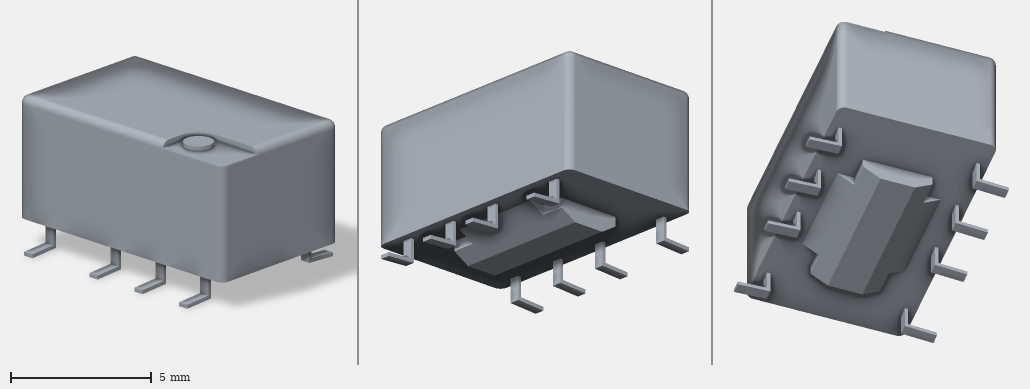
import cadquery as cq

HOUSING_LENGTH = 10.0
HOUSING_WIDTH = 6.0
HOUSING_HEIGHT = 4.65
EDGE_RADIUS = 0.3

STUD_X = 2.88
STUD_Y = -2.0
STUD_DIAMETER = 1.1
STUD_HEIGHT = 0.19
RECESS_RADIUS = 0.8
RECESS_DEPTH = 0.24

KEEL_LENGTH = 5.6
KEEL_FULL_LENGTH = 3.7
KEEL_TOP_WIDTH = 3.9
KEEL_BOTTOM_WIDTH = 1.3
KEEL_END_WIDTH = 2.62
KEEL_HEIGHT = 0.76

TERMINAL_X = (-3.8, -0.6, 1.6, 3.8)
TERMINAL_WIDTH = 0.4
LEG_THICKNESS = 0.13
FOOT_THICKNESS = 0.15
TERMINAL_DROP = 1.0
TERMINAL_SPAN = 7.52
LEG_INNER_Y = 2.54
FOOT_FALL = 0.07


def make_block():
    block = cq.Workplane("XY").box(
        HOUSING_LENGTH, HOUSING_WIDTH, HOUSING_HEIGHT, centered=(True, True, False)
    )
    return block.edges("|Z").fillet(EDGE_RADIUS).faces(">Z").edges().fillet(EDGE_RADIUS)


def make_corner_recess():
    """Cutter for the recess, open on the +X and -Y sides of the housing."""
    left = STUD_X - RECESS_RADIUS
    back = STUD_Y + RECESS_RADIUS
    length = HOUSING_LENGTH / 2 - left
    width = back + HOUSING_WIDTH / 2
    cutter = (
        cq.Workplane("XY")
        .box(length, width, RECESS_DEPTH, centered=False)
        .translate((left, -HOUSING_WIDTH / 2, HOUSING_HEIGHT - RECESS_DEPTH))
    )
    return cutter.edges("|Z and <X and >Y").fillet(RECESS_RADIUS)


def make_stud():
    """Round stud on the recess floor, slightly lower than the top of the housing."""
    return (
        cq.Workplane("XY", origin=(STUD_X, STUD_Y, HOUSING_HEIGHT - RECESS_DEPTH))
        .circle(STUD_DIAMETER / 2)
        .extrude(STUD_HEIGHT)
    )


def make_keel():
    taper = (
        cq.Workplane("YZ")
        .polyline([
            (-KEEL_TOP_WIDTH / 2, 0),
            (-KEEL_BOTTOM_WIDTH / 2, -KEEL_HEIGHT),
            (KEEL_BOTTOM_WIDTH / 2, -KEEL_HEIGHT),
            (KEEL_TOP_WIDTH / 2, 0),
        ])
        .close()
        .extrude(KEEL_LENGTH / 2, both=True)
    )
    plan = (
        cq.Workplane("XY")
        .rect(KEEL_LENGTH, KEEL_END_WIDTH)
        .extrude(-KEEL_HEIGHT)
        .union(cq.Workplane("XY").rect(KEEL_FULL_LENGTH, KEEL_TOP_WIDTH).extrude(-KEEL_HEIGHT))
    )
    return taper.intersect(plan)


def make_housing():
    return make_block().cut(make_corner_recess()).union(make_stud()).union(make_keel())


def make_terminal(x, side):
    """One terminal centred at x; side is -1 for the -Y row and +1 for the +Y row."""
    leg_outer_y = LEG_INNER_Y + LEG_THICKNESS
    tip_y = TERMINAL_SPAN / 2
    slope = FOOT_FALL / (tip_y - LEG_INNER_Y)
    heel_z = -TERMINAL_DROP + FOOT_FALL
    bend_z = heel_z + FOOT_THICKNESS - slope * LEG_THICKNESS
    outline = [
        (LEG_INNER_Y, 0),
        (LEG_INNER_Y, heel_z),
        (tip_y, -TERMINAL_DROP),
        (tip_y, -TERMINAL_DROP + FOOT_THICKNESS),
        (leg_outer_y, bend_z),
        (leg_outer_y, 0),
    ]
    return (
        cq.Workplane("YZ", origin=(x, 0, 0))
        .polyline([(side * y, z) for y, z in outline])
        .close()
        .extrude(TERMINAL_WIDTH / 2, both=True)
    )


housing = make_housing()
terminals = [make_terminal(x, side) for side in (-1, 1) for x in TERMINAL_X]

result = cq.Compound.makeCompound([housing.val(), *[terminal.val() for terminal in terminals]])